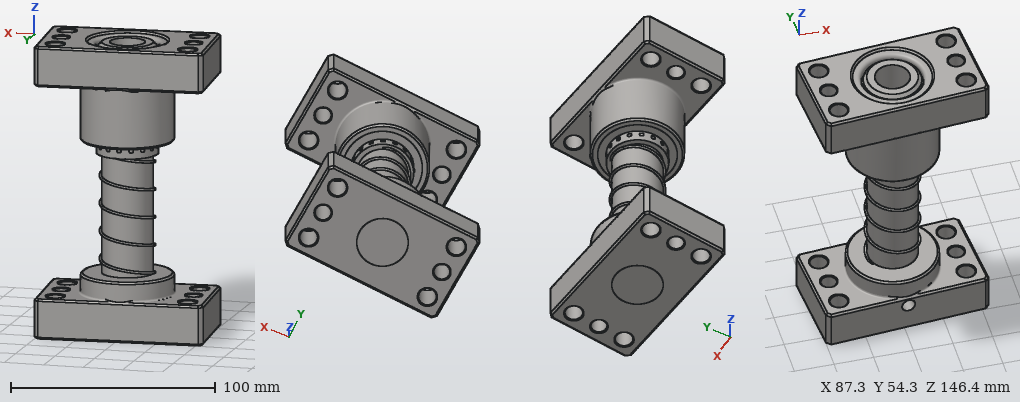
import cadquery as cq
import math

TOTAL_HEIGHT = 146.4
EDGE_CHAMFER = 1.0

PLATE_LENGTH = 84.0
PLATE_WIDTH = 48.0
PLATE_THICKNESS = 20.0
PLATE_ANGLE = 4.6
CORNER_CHAMFER = 2.0

HOLE_HALF_SPACING_X = 33.0
HOLE_HALF_SPACING_Y = 15.0
SCREW_HOLE_RADIUS = 4.4
DOWEL_HOLE_RADIUS = 4.0
HOLE_CHAMFER = 0.5

BOSS_RADIUS = 23.0
HEAD_BOSS_HEIGHT = 30.0
BASE_BOSS_HEIGHT = 10.0

SIDE_HOLE_RADIUS = 3.4
SIDE_HOLE_Z = 15.0

BUSHING_RADIUS = 19.5
BUSHING_BORE_RADIUS = 15.4
BUSHING_MOUTH_FILLET = 2.0

POST_RADIUS = 12.6
POST_BORE_RADIUS = 8.6
POST_BORE_DEPTH = 43.9
PILOT_RADIUS = 4.5
PILOT_DEPTH = 14.6
PILOT_TIP_ANGLE = 118.0
PILOT_CHAMFER = 0.7

STOP_RING_RADIUS = 14.3
STOP_RING_HEIGHT = 4.4

CAGE_RADIUS = 15.2
CAGE_OVERHANG = 6.3
BALL_COUNT = 16
BALL_RADIUS = 1.3
BALL_PROTRUSION = 0.53
BALL_DROP = 2.2

WIRE_RADIUS = 0.6
SPRING_PITCH = 13.9
SPRING_LIFT = 0.6
SPRING_CLEARANCE = 0.03

BASE_TOP_Z = PLATE_THICKNESS + BASE_BOSS_HEIGHT
HEAD_BOTTOM_Z = TOTAL_HEIGHT - PLATE_THICKNESS - HEAD_BOSS_HEIGHT
CAGE_BOTTOM_Z = HEAD_BOTTOM_Z - CAGE_OVERHANG
RECESSED_TOP_Z = TOTAL_HEIGHT - EDGE_CHAMFER
CAGE_TOP_Z = RECESSED_TOP_Z - STOP_RING_HEIGHT


def cylinder(radius, bottom, top):
    return cq.Workplane("XY").workplane(offset=bottom).circle(radius).extrude(top - bottom)


def cone_cut(large_radius, top):
    """Tool for a 45-degree countersink that opens upward at height `top`."""
    profile = [(0, top), (large_radius, top), (0, top - large_radius)]
    return cq.Workplane("XZ").polyline(profile).close().revolve(360, (0, 0), (0, 1))


def chamfered_hole(radius, length):
    """Tool for a through hole along Z with a chamfer at both ends."""
    mouth = radius + HOLE_CHAMFER
    profile = [
        (0, 0),
        (mouth, 0),
        (radius, HOLE_CHAMFER),
        (radius, length - HOLE_CHAMFER),
        (mouth, length),
        (0, length),
    ]
    return cq.Workplane("XZ").polyline(profile).close().revolve(360, (0, 0), (0, 1))


def root_fillet():
    """Concave fillet ring at the boss foot, trimmed by the slope of the plate's edge chamfer."""
    outer = BOSS_RADIUS + EDGE_CHAMFER
    foot = PLATE_THICKNESS
    sag = EDGE_CHAMFER * (1 - math.sqrt(0.5))
    ring = (
        cq.Workplane("XZ")
        .moveTo(POST_RADIUS, foot)
        .lineTo(outer, foot)
        .threePointArc((BOSS_RADIUS + sag, foot + sag), (BOSS_RADIUS, foot + EDGE_CHAMFER))
        .lineTo(POST_RADIUS, foot + EDGE_CHAMFER)
        .close()
        .revolve(360, (0, 0), (0, 1))
    )
    chamfer_slope = (
        cq.Workplane("XY")
        .workplane(offset=foot)
        .rect(PLATE_LENGTH - 2 * EDGE_CHAMFER, PLATE_WIDTH - 2 * EDGE_CHAMFER)
        .extrude(EDGE_CHAMFER, taper=45)
    )
    return ring.intersect(chamfer_slope)


def bossed_plate(boss_height):
    """Plate on Z = 0 with its six mounting holes and a round boss on top, not yet turned."""
    plate = (
        cq.Workplane("XY")
        .rect(PLATE_LENGTH, PLATE_WIDTH)
        .extrude(PLATE_THICKNESS)
        .edges("|Z")
        .chamfer(CORNER_CHAMFER)
        .faces("<Z or >Z")
        .edges()
        .chamfer(EDGE_CHAMFER)
    )
    for side in (-1, 1):
        for row in (-1, 0, 1):
            radius = SCREW_HOLE_RADIUS if row else DOWEL_HOLE_RADIUS
            place = (side * HOLE_HALF_SPACING_X, row * HOLE_HALF_SPACING_Y, 0)
            plate = plate.cut(chamfered_hole(radius, PLATE_THICKNESS).translate(place))
    boss = (
        cylinder(BOSS_RADIUS, EDGE_CHAMFER, PLATE_THICKNESS + boss_height)
        .faces(">Z")
        .edges()
        .chamfer(EDGE_CHAMFER)
    )
    return plate.union(boss).union(root_fillet())


def turned(body):
    return body.rotate((0, 0, 0), (0, 0, 1), PLATE_ANGLE)


def make_base():
    base = bossed_plate(BASE_BOSS_HEIGHT).cut(cylinder(POST_RADIUS, 0, BASE_TOP_Z))
    side_hole = cylinder(SIDE_HOLE_RADIUS, 0, PLATE_WIDTH / 2)
    side_hole = side_hole.rotate((0, 0, 0), (1, 0, 0), 90).translate((0, 0, SIDE_HOLE_Z))
    return turned(base.cut(side_hole))


def make_head():
    head = bossed_plate(HEAD_BOSS_HEIGHT).rotate((0, 0, 0), (1, 0, 0), 180)
    head = head.translate((0, 0, TOTAL_HEIGHT))
    head = head.cut(cylinder(BUSHING_RADIUS, HEAD_BOTTOM_Z, TOTAL_HEIGHT))
    return turned(head.cut(cone_cut(BUSHING_RADIUS + EDGE_CHAMFER, TOTAL_HEIGHT)))


def make_bushing():
    bore = cylinder(BUSHING_BORE_RADIUS, HEAD_BOTTOM_Z, RECESSED_TOP_Z)
    bushing = cylinder(BUSHING_RADIUS, HEAD_BOTTOM_Z, RECESSED_TOP_Z).cut(bore)
    mouth = bushing.faces(">Z").edges(cq.selectors.RadiusNthSelector(0))
    return mouth.fillet(BUSHING_MOUTH_FILLET)


def make_post():
    floor = RECESSED_TOP_Z - POST_BORE_DEPTH
    pilot_bottom = floor - PILOT_DEPTH
    tip_height = PILOT_RADIUS / math.tan(math.radians(PILOT_TIP_ANGLE / 2))
    bore_profile = [
        (0, RECESSED_TOP_Z),
        (POST_BORE_RADIUS, RECESSED_TOP_Z),
        (POST_BORE_RADIUS, floor),
        (PILOT_RADIUS + PILOT_CHAMFER, floor),
        (PILOT_RADIUS, floor - PILOT_CHAMFER),
        (PILOT_RADIUS, pilot_bottom),
        (0, pilot_bottom - tip_height),
    ]
    bore = cq.Workplane("XZ").polyline(bore_profile).close().revolve(360, (0, 0), (0, 1))
    return cylinder(POST_RADIUS, 0, RECESSED_TOP_Z).cut(bore)


def make_stop_ring():
    """Ring whose top is bevelled across its whole wall."""
    wall = STOP_RING_RADIUS - POST_RADIUS
    profile = [
        (POST_RADIUS, CAGE_TOP_Z),
        (STOP_RING_RADIUS, CAGE_TOP_Z),
        (STOP_RING_RADIUS, RECESSED_TOP_Z - wall),
        (POST_RADIUS, RECESSED_TOP_Z),
    ]
    return cq.Workplane("XZ").polyline(profile).close().revolve(360, (0, 0), (0, 1))


def make_cage():
    """Sleeve with the one ring of balls that stands out below the head."""
    cage = cylinder(CAGE_RADIUS, CAGE_BOTTOM_Z, CAGE_TOP_Z)
    cage = cage.cut(cylinder(POST_RADIUS, CAGE_BOTTOM_Z, CAGE_TOP_Z))
    ball_circle_radius = CAGE_RADIUS + BALL_PROTRUSION - BALL_RADIUS
    balls = (
        cq.Workplane("XY")
        .workplane(offset=HEAD_BOTTOM_Z - BALL_DROP)
        .polarArray(ball_circle_radius, 0, 360, BALL_COUNT)
        .sphere(BALL_RADIUS)
    )
    return cage.union(balls)


def make_spring():
    """Left-hand coil between base and cage, both ends ground flat."""
    coil_radius = POST_RADIUS + SPRING_CLEARANCE + WIRE_RADIUS
    start_z = BASE_TOP_Z + SPRING_LIFT - SPRING_PITCH / 2
    length = CAGE_BOTTOM_Z - start_z + SPRING_PITCH / 2
    path = cq.Wire.makeHelix(SPRING_PITCH, length, coil_radius, lefthand=True)
    wire = (
        cq.Workplane("XZ")
        .center(coil_radius, 0)
        .circle(WIRE_RADIUS)
        .sweep(cq.Workplane(path), isFrenet=True)
        .translate((0, 0, start_z))
    )
    return wire.intersect(cylinder(CAGE_RADIUS, BASE_TOP_Z, CAGE_BOTTOM_Z))


base = make_base()
head = make_head()
bushing = make_bushing()
post = make_post()
stop_ring = make_stop_ring()
cage = make_cage()
spring = make_spring()

result = cq.Compound.makeCompound(
    [
        base.val(),
        head.val(),
        bushing.val(),
        post.val(),
        stop_ring.val(),
        cage.val(),
        spring.val(),
    ]
)